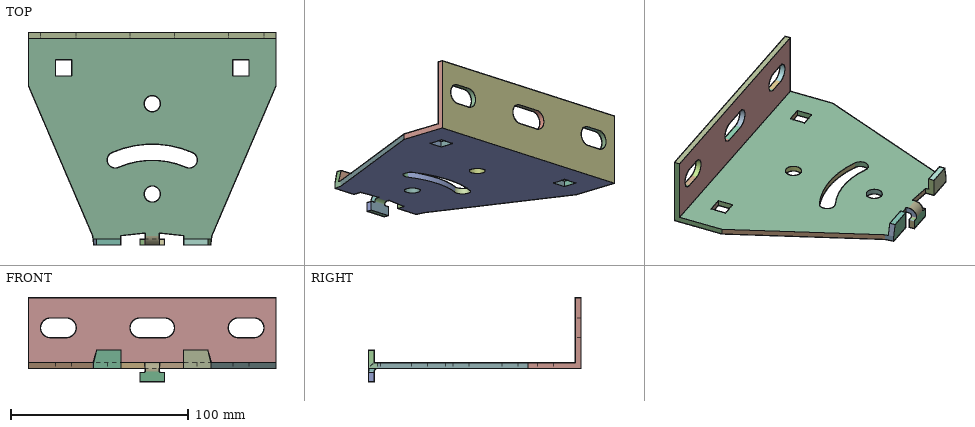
import cadquery as cq
import math

WIDTH = 140.0
DEPTH = 120.0
THICKNESS = 3.3
FLANGE_HEIGHT = 40.0

TAPER_START_Y = 90.0
TAPER_END_Y = 5.2
FRONT_HALF_WIDTH = 33.7

SQUARE_SIZE = 9.0
SQUARE_SPACING = 100.0
SQUARE_Y = 100.0
HOLE_DIAMETER = 9.0
HOLE_POSITIONS_Y = (28.8, 79.8)
ARC_SLOT_WIDTH = 9.0
ARC_SLOT_RADIUS = 52.4
ARC_SLOT_HALF_ANGLE = math.radians(23.5)

SLOT_HEIGHT = 11.0
SLOT_Z = 23.0
SIDE_SLOT_LENGTH = 20.0
SIDE_SLOT_X = 53.0
CENTRE_SLOT_LENGTH = 25.0

TAB_HEIGHT = 10.4
TAB_INNER_X = 17.75
TAB_BASE_X = 33.1
TAB_TOP_X = 31.4

NOTCH_CENTRE_Y = 6.7
HOOK_WIDTH = 8.1
HOOK_BEND_RADIUS = 5.0
HOOK_HEAD_WIDTH = 14.1
HOOK_BEND_END_Z = THICKNESS - HOOK_BEND_RADIUS
HOOK_BOTTOM_Z = -7.5
HOOK_HEAD_FILLET = 0.5
HOOK_ROOT_FILLET = 0.4
HOOK_SHOULDER_Z = HOOK_BEND_END_Z - HOOK_ROOT_FILLET


def make_plate():
    """Tapered base plate with a shallow notch across its front edge."""
    half_width = WIDTH / 2
    hook_side = HOOK_WIDTH / 2
    right_side = [
        (hook_side, NOTCH_CENTRE_Y),
        (TAB_INNER_X, TAPER_END_Y),
        (TAB_INNER_X, 0),
        (TAB_BASE_X, 0),
        (FRONT_HALF_WIDTH, TAPER_END_Y),
        (half_width, TAPER_START_Y),
        (half_width, DEPTH),
    ]
    left_side = [(-x, y) for x, y in reversed(right_side)]
    return cq.Workplane("XY").polyline(right_side + left_side).close().extrude(THICKNESS)


def make_flange():
    """Upright wall along the rear edge."""
    return (
        cq.Workplane("XY", origin=(0, DEPTH - THICKNESS, 0))
        .box(WIDTH, THICKNESS, FLANGE_HEIGHT, centered=(True, False, False))
    )


def make_tab(side):
    """Upturned front tab narrowing from the plate edge to its top; side is +1 or -1."""
    flare = (FRONT_HALF_WIDTH - TAB_BASE_X) / TAPER_END_Y
    base_outline = [
        (side * TAB_INNER_X, 0),
        (side * TAB_BASE_X, 0),
        (side * (TAB_BASE_X + flare * THICKNESS), THICKNESS),
        (side * TAB_INNER_X, THICKNESS),
    ]
    top_outline = [
        (side * TAB_INNER_X, 0),
        (side * TAB_TOP_X, 0),
        (side * TAB_TOP_X, THICKNESS),
        (side * TAB_INNER_X, THICKNESS),
    ]
    return (
        cq.Workplane("XY", origin=(0, 0, THICKNESS))
        .polyline(base_outline)
        .close()
        .workplane(offset=TAB_HEIGHT - THICKNESS)
        .polyline(top_outline)
        .close()
        .loft(ruled=True)
    )


def make_hook_neck():
    """Neck bent down a quarter turn from the front of the plate."""
    bend_y = HOOK_BEND_RADIUS
    inner_radius = HOOK_BEND_RADIUS - THICKNESS
    diagonal = math.sqrt(0.5)
    return (
        cq.Workplane("YZ")
        .moveTo(NOTCH_CENTRE_Y, THICKNESS)
        .lineTo(bend_y, THICKNESS)
        .threePointArc(
            (bend_y - HOOK_BEND_RADIUS * diagonal, HOOK_BEND_END_Z + HOOK_BEND_RADIUS * diagonal),
            (0, HOOK_BEND_END_Z),
        )
        .lineTo(THICKNESS, HOOK_BEND_END_Z)
        .threePointArc(
            (bend_y - inner_radius * diagonal, HOOK_BEND_END_Z + inner_radius * diagonal),
            (bend_y, 0),
        )
        .lineTo(NOTCH_CENTRE_Y, 0)
        .close()
        .extrude(HOOK_WIDTH / 2, both=True)
    )


def make_hook_head():
    """Wide hook head with rounded shoulders and concave fillets that meet the neck."""
    head = (
        cq.Workplane("XY", origin=(0, 0, HOOK_BOTTOM_Z))
        .box(HOOK_HEAD_WIDTH, THICKNESS, HOOK_SHOULDER_Z - HOOK_BOTTOM_Z, centered=(True, False, False))
        .edges("|Y and >Z")
        .fillet(HOOK_HEAD_FILLET)
    )
    root_width = HOOK_WIDTH + 2 * HOOK_ROOT_FILLET
    root = (
        cq.Workplane("XY", origin=(0, 0, HOOK_SHOULDER_Z))
        .box(root_width, THICKNESS, HOOK_ROOT_FILLET, centered=(True, False, False))
    )
    fillet_rounds = (
        cq.Workplane("XZ")
        .pushPoints([(side * root_width / 2, HOOK_BEND_END_Z) for side in (-1, 1)])
        .circle(HOOK_ROOT_FILLET)
        .extrude(-THICKNESS)
    )
    return head.union(root.cut(fillet_rounds))


def plate_cutters():
    """Square holes, round holes and the curved slot through the plate."""
    squares = (
        cq.Workplane("XY")
        .pushPoints([(side * SQUARE_SPACING / 2, SQUARE_Y) for side in (-1, 1)])
        .rect(SQUARE_SIZE, SQUARE_SIZE)
        .extrude(THICKNESS)
    )
    holes = (
        cq.Workplane("XY")
        .pushPoints([(0, y) for y in HOLE_POSITIONS_Y])
        .circle(HOLE_DIAMETER / 2)
        .extrude(THICKNESS)
    )
    return squares.union(holes).union(make_arc_slot())


def make_arc_slot():
    """Round-ended slot following an arc centred on the middle of the front edge."""

    def arc_point(radius, angle):
        return (radius * math.sin(angle), radius * math.cos(angle))

    half_slot = ARC_SLOT_WIDTH / 2
    outer = ARC_SLOT_RADIUS + half_slot
    inner = ARC_SLOT_RADIUS - half_slot
    end = ARC_SLOT_HALF_ANGLE
    cap_angle = end + math.atan(half_slot / ARC_SLOT_RADIUS)
    cap_radius = math.hypot(ARC_SLOT_RADIUS, half_slot)
    return (
        cq.Workplane("XY")
        .moveTo(*arc_point(outer, -end))
        .threePointArc((0, outer), arc_point(outer, end))
        .threePointArc(arc_point(cap_radius, cap_angle), arc_point(inner, end))
        .threePointArc((0, inner), arc_point(inner, -end))
        .threePointArc(arc_point(cap_radius, -cap_angle), arc_point(outer, -end))
        .close()
        .extrude(THICKNESS)
    )


def make_flange_slot(x, length):
    """Horizontal round-ended slot through the rear flange."""
    return (
        cq.Workplane("XZ", origin=(0, DEPTH, 0))
        .center(x, SLOT_Z)
        .slot2D(length, SLOT_HEIGHT)
        .extrude(THICKNESS)
    )


bracket = make_plate().union(make_flange())
bracket = bracket.union(make_hook_neck()).union(make_hook_head())
for tab_side in (-1, 1):
    bracket = bracket.union(make_tab(tab_side))

bracket = bracket.cut(plate_cutters())
bracket = bracket.cut(make_flange_slot(0, CENTRE_SLOT_LENGTH))
for slot_x in (-SIDE_SLOT_X, SIDE_SLOT_X):
    bracket = bracket.cut(make_flange_slot(slot_x, SIDE_SLOT_LENGTH))

result = bracket